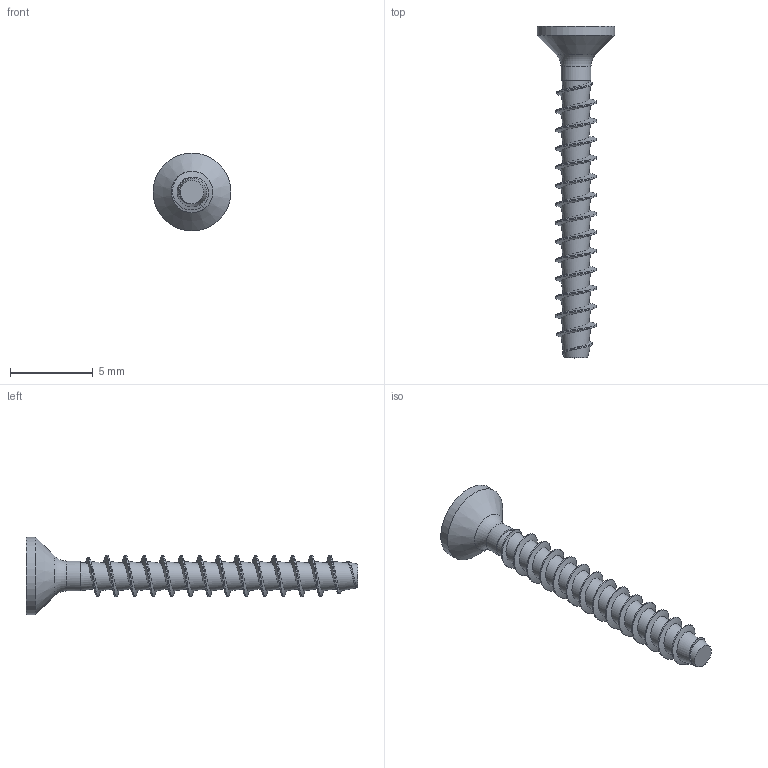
import cadquery as cq
import math

length = 20.0

head_radius = 2.35
rim_height = 0.57
shank_radius = 0.9
neck_fillet_radius = 1.0
thread_start = 3.28

pitch = 1.12
depth_at_x = 3.465
crest_radius = 1.25
crest_width = 0.07
flank_slope = 0.24
points_per_turn = 32
buried_turns = 1.15

core_radius_wide = 0.895
core_radius_narrow = 0.77
tip_radius = 0.71
tip_cone_slope = 0.2

run_in_end = 4.25
run_in_slope = 0.32
run_out_slope = 0.33
least_ridge_height = 0.01


def revolve_about_y(profile):
    return profile.revolve(360, (0, 0, 0), (1, 0, 0))


def head_and_shank():
    """Head, 45 degree countersink, neck fillet and plain shank."""
    diagonal = math.sqrt(0.5)
    fillet_top_radius = shank_radius + neck_fillet_radius * (1 - diagonal)
    fillet_top = rim_height + head_radius - fillet_top_radius
    fillet_end = fillet_top + neck_fillet_radius * diagonal
    mid_angle = math.radians(45 / 2)
    fillet_mid = (
        -(fillet_end - neck_fillet_radius * math.sin(mid_angle)),
        shank_radius + neck_fillet_radius * (1 - math.cos(mid_angle)),
    )
    profile = (
        cq.Workplane("YZ")
        .moveTo(0, 0)
        .lineTo(0, head_radius)
        .lineTo(-rim_height, head_radius)
        .lineTo(-fillet_top, fillet_top_radius)
        .threePointArc(fillet_mid, (-fillet_end, shank_radius))
        .lineTo(-thread_start, shank_radius)
        .lineTo(-thread_start, 0)
        .close()
    )
    return revolve_about_y(profile)


def tip_limit(depth):
    """Largest core radius that the tip cone allows at a depth."""
    return tip_radius + tip_cone_slope * (length - depth)


def crest_radius_at(depth):
    """Crest radius along the thread: run-in, full height, run-out."""
    run_in = crest_radius - run_in_slope * (run_in_end - depth)
    run_out = tip_radius + run_out_slope * (length - depth)
    core_radius = min(core_radius_wide, tip_limit(depth))
    return max(core_radius + least_ridge_height, min(crest_radius, run_in, run_out))


def ridge_corners(depth):
    """Corners of the ridge section at a depth, as (depth, radius), from head side to tip side."""
    crest = crest_radius_at(depth)
    narrow = min(core_radius_narrow, tip_limit(depth))
    wide = min(core_radius_wide, tip_limit(depth))
    half_crest = crest_width / 2
    return [
        (depth - half_crest - flank_slope * (crest - narrow), narrow),
        (depth - half_crest, crest),
        (depth + half_crest, crest),
        (depth + half_crest + flank_slope * (crest - wide), wide),
    ]


def helix_edges(first_depth):
    """One turn of the helical edges traced by the ridge corners."""
    sections = []
    for step in range(points_per_turn + 1):
        depth = first_depth + pitch * step / points_per_turn
        angle = 2 * math.pi * (depth - depth_at_x) / pitch
        sections.append(
            [
                cq.Vector(radius * math.cos(angle), -corner_depth, radius * math.sin(angle))
                for corner_depth, radius in ridge_corners(depth)
            ]
        )
    return [cq.Edge.makeSpline(list(points)) for points in zip(*sections)]


def end_faces(edges, next_edge):
    """Close an end of the thread: a helicoid from the head-side root to the axis, and a flat."""
    root_edge = edges[0]
    axis_start = cq.Vector(0, root_edge.startPoint().y, 0)
    axis_end = cq.Vector(0, root_edge.endPoint().y, 0)
    helicoid = cq.Face.makeRuledSurface(cq.Edge.makeLine(axis_start, axis_end), root_edge)
    corners = [edge.startPoint() for edge in edges] + [next_edge.startPoint()]
    flat = cq.Face.makeFromWires(cq.Wire.makePolygon(corners + [axis_end, axis_start], close=True))
    return [helicoid, flat]


def threaded_rod():
    """Core and ridge as one closed shell of ruled faces, trimmed flat at shank and tip."""
    first_depth = depth_at_x - buried_turns * pitch
    turn_count = math.ceil((length - first_depth) / pitch) + 1
    turns = [helix_edges(first_depth + pitch * turn) for turn in range(turn_count + 2)]
    faces = []
    for edges, next_edges in zip(turns[:turn_count], turns[1:]):
        outline = edges + [next_edges[0]]
        for edge, next_edge in zip(outline, outline[1:]):
            faces.append(cq.Face.makeRuledSurface(edge, next_edge))
    faces += end_faces(turns[0], turns[1][0])
    faces += end_faces(turns[turn_count], turns[turn_count + 1][0])
    rod = cq.Workplane(cq.Solid.makeSolid(cq.Shell.makeShell(faces)))
    threaded_length = (
        cq.Workplane("XZ", origin=(0, -thread_start, 0))
        .circle(head_radius)
        .extrude(length - thread_start)
    )
    return threaded_length.intersect(rod)


result = head_and_shank().union(threaded_rod())